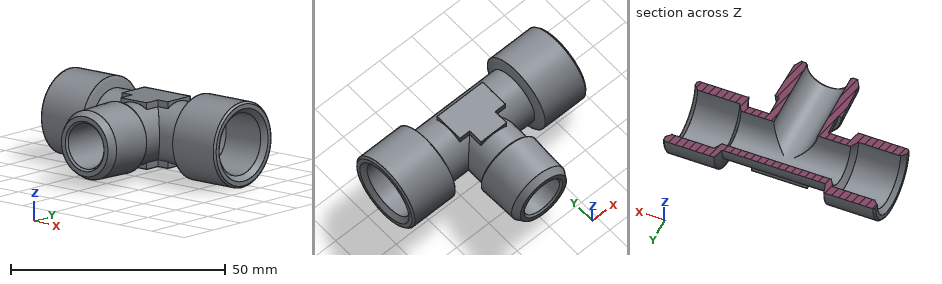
import cadquery as cq

run_half_length = 27.0
neck_radius = 7.5
socket_radius = 10.25
socket_length = 13.9
socket_rim_chamfer = 0.5
shoulder_cone_length = 0.55
shoulder_edge_length = 0.3
shoulder_radius = 9.45

bore_radius = 5.5
socket_bore_diameter = 14.95
socket_bore_radius = socket_bore_diameter / 2
socket_mouth_radius = 8.7
socket_bore_depth = 11.9
socket_mouth_depth = 1.2
drill_tip_depth = 1.2

branch_length = 25.5
spigot_start = 13.0
spigot_back_chamfer = 0.25
spigot_back_radius = 8.6
spigot_front_radius = 8.25
spigot_tip_radius = 7.2
spigot_tip_length = 1.85
branch_mouth_radius = 6.0
branch_mouth_depth = 0.5

flat_half_length = 7.1
flat_half_width = 4.0
flat_half_height = 8.0
flat_stem_reach = 8.0


def revolve_along_x(profile):
    """Revolve a closed (x, radius) profile about the X axis."""
    return cq.Workplane("XY").polyline(profile).close().revolve(360, (0, 0, 0), (1, 0, 0))


def revolve_along_branch(profile):
    """Revolve a closed (distance toward -Y, radius) profile about the Y axis."""
    points = [(radius, -distance) for distance, radius in profile]
    return cq.Workplane("XY").polyline(points).close().revolve(360, (0, 0, 0), (0, 1, 0))


def run_half_body():
    """Neck and socket with a two-step conical shoulder on the +X half of the run."""
    socket_start = run_half_length - socket_length
    return revolve_along_x([
        (0, 0),
        (0, neck_radius),
        (socket_start, neck_radius),
        (socket_start + shoulder_cone_length, shoulder_radius),
        (socket_start + shoulder_cone_length + shoulder_edge_length, socket_radius),
        (run_half_length - socket_rim_chamfer, socket_radius),
        (run_half_length, socket_radius - socket_rim_chamfer),
        (run_half_length, 0),
    ])


def run_half_passage():
    """Through bore, conical drill tip, socket bore and flared mouth on the +X half."""
    bore_floor = run_half_length - socket_bore_depth
    return revolve_along_x([
        (0, 0),
        (0, bore_radius),
        (bore_floor - drill_tip_depth, bore_radius),
        (bore_floor, socket_bore_radius),
        (run_half_length - socket_mouth_depth, socket_bore_radius),
        (run_half_length, socket_mouth_radius),
        (run_half_length, 0),
    ])


def branch_body():
    """Branch neck and tapered spigot."""
    return revolve_along_branch([
        (0, 0),
        (0, neck_radius),
        (spigot_start, neck_radius),
        (spigot_start, spigot_back_radius - spigot_back_chamfer),
        (spigot_start + spigot_back_chamfer, spigot_back_radius),
        (branch_length - spigot_tip_length, spigot_front_radius),
        (branch_length, spigot_tip_radius),
        (branch_length, 0),
    ])


def branch_passage():
    """Branch bore with a chamfered mouth."""
    return revolve_along_branch([
        (0, 0),
        (0, bore_radius),
        (branch_length - branch_mouth_depth, bore_radius),
        (branch_length, branch_mouth_radius),
        (branch_length, 0),
    ])


def junction_flats():
    """T-shaped block whose upper and lower faces stand proud of the necks."""
    height = 2 * flat_half_height
    bar = cq.Workplane("XY").box(2 * flat_half_length, 2 * flat_half_width, height)
    stem = (
        cq.Workplane("XY")
        .box(2 * flat_half_width, flat_stem_reach, height)
        .translate((0, -flat_stem_reach / 2, 0))
    )
    return bar.union(stem)


def both_run_ends(half):
    """Join a +X half with its mirror image across the YZ plane."""
    return half.union(half.mirror("YZ"))


body = both_run_ends(run_half_body()).union(branch_body()).union(junction_flats())
result = body.cut(both_run_ends(run_half_passage())).cut(branch_passage()).clean()